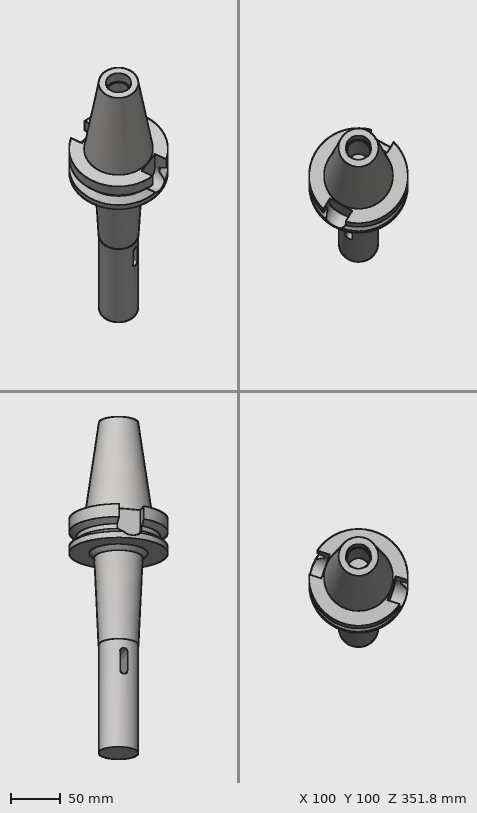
import cadquery as cq

total_length = 351.8
shank_top = 115.0
neck_top = 208.0
flange_bottom = 213.0
groove_lower_edge = 219.5
groove_floor_bottom = 224.8
groove_floor_top = 230.0
groove_upper_edge = 235.0
flange_top = 248.7

flange_radius = 50.0
groove_radius = 42.5
collar_radius = 29.5
neck_top_radius = 24.5
neck_bottom_radius = 20.5
shank_radius = 20.0
taper_large_radius = 35.0
taper_small_radius = 20.0

counterbore_radius = 12.5
counterbore_depth = 13.0
pilot_radius = 11.3
pilot_depth = 63.3

keyway_width = 26.0
keyway_depth = 32.7
keyway_floor = 35.2

drift_width = 7.7
drift_length = 27.5
drift_center = 91.8


def turned_body():
    """Revolve the outer profile about Z."""
    profile = [
        (0, 0),
        (shank_radius, 0),
        (shank_radius, shank_top),
        (neck_bottom_radius, shank_top),
        (neck_top_radius, neck_top),
        (collar_radius, flange_bottom),
        (flange_radius, flange_bottom),
        (flange_radius, groove_lower_edge),
        (groove_radius, groove_floor_bottom),
        (groove_radius, groove_floor_top),
        (flange_radius, groove_upper_edge),
        (flange_radius, flange_top),
        (taper_large_radius, flange_top),
        (taper_small_radius, total_length),
        (0, total_length),
    ]
    return cq.Workplane("XZ").polyline(profile).close().revolve(360, (0, 0), (0, 1))


def bore():
    """Blind hole with a wider counterbore at its mouth."""
    mouth = cq.Workplane("XY", origin=(0, 0, total_length))
    counterbore = mouth.circle(counterbore_radius).extrude(-counterbore_depth)
    return counterbore.union(mouth.circle(pilot_radius).extrude(-pilot_depth))


def keyway(side):
    """Round-bottomed keyway, open upward and outward; side is +1 or -1."""
    half_width = keyway_width / 2
    arc_center = flange_top - keyway_depth + half_width
    return (
        cq.Workplane("YZ", origin=(side * keyway_floor, 0, 0))
        .moveTo(-half_width, flange_top)
        .lineTo(-half_width, arc_center)
        .threePointArc((0, flange_top - keyway_depth), (half_width, arc_center))
        .lineTo(half_width, flange_top)
        .close()
        .extrude(side * flange_radius)
    )


def drift_slot():
    """Upright slot with round ends, passing through the shank."""
    return (
        cq.Workplane("YZ")
        .center(0, drift_center)
        .slot2D(drift_length, drift_width, 90)
        .extrude(shank_radius, both=True)
    )


result = turned_body().cut(bore()).cut(drift_slot())
for side in (1, -1):
    result = result.cut(keyway(side))